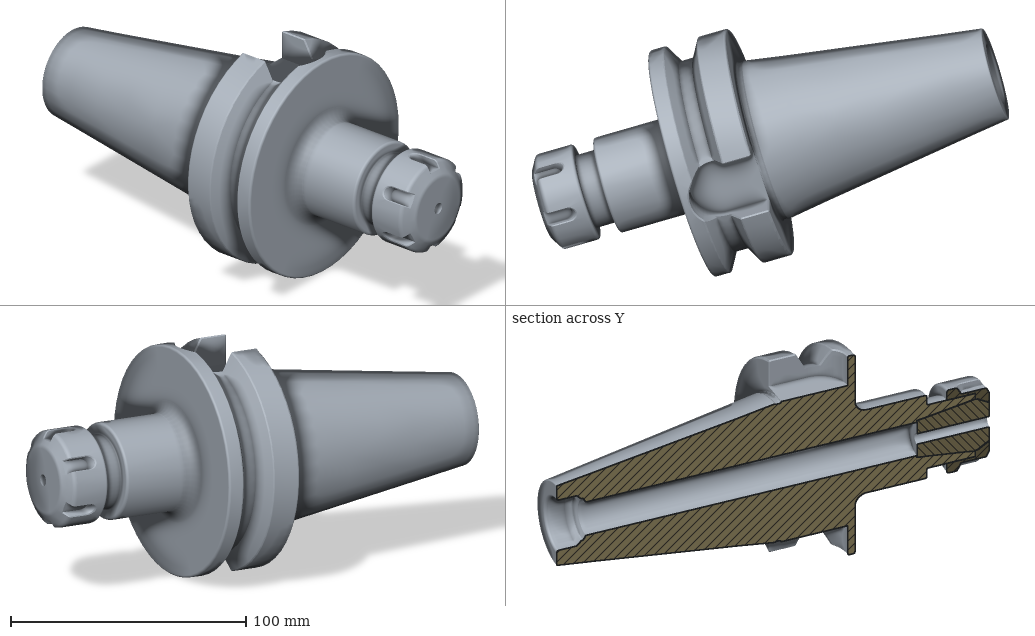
import cadquery as cq
import math

total_length = 201.8

cutter_overshoot = 2.0
selection_margin = 0.02

taper_length = 101.7
taper_large_diameter = 69.8
taper_large_radius = taper_large_diameter / 2
taper_slope = 7 / 24 / 2
taper_small_radius = taper_large_radius - taper_length * taper_slope
taper_end_round = 0.6
neck_radius = 34.6
neck_start = 102.3
neck_root_fillet = 0.8

flange_start = 104.7
flange_end = 139.2
flange_radius = 50.0
flange_edge = 1.0
groove_bottom_radius = 42.2
groove_bottom_start = 121.9
groove_bottom_end = 127.7
groove_side_angle = math.radians(60)
groove_side_width = (flange_radius - groove_bottom_radius) / math.tan(groove_side_angle)
groove_edge_round = 0.8

slot_width = 25.6
slot_floor_height = 35.3
slot_end_center = 122.9
slot_edge_chamfer = 0.6
drive_rim_min_height = 41.2

nose_radius = 21.0
nose_root_fillet = 5.2
nose_end = 172.7
nose_round = 1.2
thread_root_fillet = 0.6
thread_radius = 16.05

bore_mouth_round = 1.2
bore_radius = 12.5
bore_depth = 9.5
drawbar_thread_radius = 10.4
drawbar_thread_length = 0.8
through_radius = 8.3
bore_cone_angle = math.radians(45)
drill_cone_angle = math.radians(60)

collet_start = 167.9
collet_small_radius = 9.0
collet_large_radius = 13.0
collet_taper_angle = math.radians(8)
collet_front_angle = math.radians(30)
collet_taper_length = (collet_large_radius - collet_small_radius) / math.tan(collet_taper_angle)
collet_taper_end = collet_start + collet_taper_length
collet_front_start = 196.4
collet_front_radius = collet_large_radius - (total_length - collet_front_start) * math.tan(collet_front_angle)
collet_hole_radius = 2.52

nut_start = 181.8
nut_radius = 21.0
nut_back_round = 1.2
nut_nose_angle = math.radians(60)
nut_face_round = 3.0
nut_nose_start = 198.2
nut_face_radius = nut_radius - (total_length - nut_nose_start) * math.tan(nut_nose_angle)
nut_nose_round = 2.2
wrench_slot_count = 6
wrench_slot_width = 5.7
wrench_slot_start = 188.7
wrench_slot_floor = 17.4
wrench_slot_end_slope = math.radians(30)
wrench_slot_rim_chamfer = 0.5


def revolve_about_x(profile):
    return profile.close().revolve(360, (0, 0, 0), (1, 0, 0))


def holder_blank():
    left_corner = groove_bottom_start - groove_side_width
    right_corner = groove_bottom_end + groove_side_width
    tangent = groove_edge_round * math.tan(groove_side_angle / 2)
    side_run = tangent * math.cos(groove_side_angle)
    side_drop = tangent * math.sin(groove_side_angle)
    profile = (
        cq.Workplane("XY")
        .moveTo(0, 0)
        .lineTo(0, taper_small_radius - taper_end_round)
        .radiusArc((taper_end_round, taper_small_radius + taper_end_round * taper_slope), taper_end_round)
        .lineTo(taper_length, taper_large_radius)
        .lineTo(neck_start, neck_radius)
        .lineTo(flange_start - neck_root_fillet, neck_radius)
        .radiusArc((flange_start, neck_radius + neck_root_fillet), -neck_root_fillet)
        .lineTo(flange_start, flange_radius - flange_edge)
        .radiusArc((flange_start + flange_edge, flange_radius), flange_edge)
        .lineTo(left_corner - tangent, flange_radius)
        .radiusArc((left_corner + side_run, flange_radius - side_drop), groove_edge_round)
        .lineTo(groove_bottom_start, groove_bottom_radius)
        .lineTo(groove_bottom_end, groove_bottom_radius)
        .lineTo(right_corner - side_run, flange_radius - side_drop)
        .radiusArc((right_corner + tangent, flange_radius), groove_edge_round)
        .lineTo(flange_end - flange_edge, flange_radius)
        .radiusArc((flange_end, flange_radius - flange_edge), flange_edge)
        .lineTo(flange_end, nose_radius + nose_root_fillet)
        .radiusArc((flange_end + nose_root_fillet, nose_radius), -nose_root_fillet)
        .lineTo(nose_end - nose_round, nose_radius)
        .radiusArc((nose_end, nose_radius - nose_round), nose_round)
        .lineTo(nose_end, thread_radius + thread_root_fillet)
        .radiusArc((nose_end + thread_root_fillet, thread_radius), -thread_root_fillet)
        .lineTo(collet_taper_end, thread_radius)
        .lineTo(collet_taper_end, 0)
    )
    return revolve_about_x(profile)


def holder_bore():
    cone_end = bore_depth + (bore_radius - drawbar_thread_radius) / math.tan(bore_cone_angle)
    thread_end = cone_end + drawbar_thread_length
    drill_end = thread_end + (drawbar_thread_radius - through_radius) / math.tan(drill_cone_angle)
    profile = (
        cq.Workplane("XY")
        .moveTo(0, 0)
        .lineTo(0, bore_radius + bore_mouth_round)
        .radiusArc((bore_mouth_round, bore_radius), -bore_mouth_round)
        .lineTo(bore_depth, bore_radius)
        .lineTo(cone_end, drawbar_thread_radius)
        .lineTo(thread_end, drawbar_thread_radius)
        .lineTo(drill_end, through_radius)
        .lineTo(collet_start, through_radius)
        .lineTo(collet_start, 0)
    )
    return revolve_about_x(profile)


def drive_slot():
    length = slot_end_center - flange_start + slot_width
    height = flange_radius
    channel = (
        cq.Workplane("XY", origin=(slot_end_center - length / 2, 0, slot_floor_height))
        .box(length, slot_width, height, centered=(True, True, False))
    )
    rounded_end = (
        cq.Workplane("XY", origin=(slot_end_center, 0, slot_floor_height))
        .circle(slot_width / 2)
        .extrude(height)
    )
    return channel.union(rounded_end)


def collet_outline(hole_radius):
    profile = (
        cq.Workplane("XY")
        .moveTo(collet_start, hole_radius)
        .lineTo(collet_start, collet_small_radius)
        .lineTo(collet_taper_end, collet_large_radius)
        .lineTo(collet_front_start, collet_large_radius)
        .lineTo(total_length, collet_front_radius)
        .lineTo(total_length, hole_radius)
    )
    return revolve_about_x(profile)


def chamfer_drive_slot_rims(body):
    rim_edges = [
        edge
        for edge in body.edges().vals()
        if abs(edge.Center().y) <= slot_width / 2 + selection_margin
        and abs(edge.Center().z) > drive_rim_min_height
        and flange_start - selection_margin < edge.Center().x < flange_end - flange_edge
    ]
    return body.newObject(rim_edges).chamfer(slot_edge_chamfer)


def make_holder():
    body = holder_blank().cut(holder_bore()).cut(collet_outline(0))
    for angle in (0, 180):
        body = body.cut(drive_slot().rotate((0, 0, 0), (1, 0, 0), angle))
    return chamfer_drive_slot_rims(body)


def make_collet():
    return collet_outline(collet_hole_radius)


def wrench_slot():
    half_width = wrench_slot_width / 2
    height = nut_radius - wrench_slot_floor + cutter_overshoot
    mill_x = wrench_slot_start + half_width / math.cos(wrench_slot_end_slope)
    mill_top_x = mill_x - height * math.tan(wrench_slot_end_slope)
    channel = (
        cq.Workplane("XZ")
        .moveTo(mill_x, wrench_slot_floor)
        .lineTo(total_length, wrench_slot_floor)
        .lineTo(total_length, wrench_slot_floor + height)
        .lineTo(mill_top_x, wrench_slot_floor + height)
        .close()
        .extrude(half_width, both=True)
    )
    sloped_end = (
        cq.Workplane("XY")
        .circle(half_width)
        .extrude(2 * nut_radius, both=True)
        .rotate((0, 0, 0), (0, 1, 0), -math.degrees(wrench_slot_end_slope))
        .translate((mill_x, 0, wrench_slot_floor))
    )
    above_floor = (
        cq.Workplane("XY", origin=(mill_x, 0, wrench_slot_floor))
        .box(4 * nut_radius, wrench_slot_width, height, centered=(True, True, False))
    )
    return channel.union(sloped_end.intersect(above_floor))


def chamfer_wrench_slot_rims(body):
    rim_edges = [
        edge
        for edge in body.edges().vals()
        if wrench_slot_start - wrench_slot_width / 2 < edge.Center().x < nut_nose_start - nut_nose_round / 2
        and math.hypot(edge.Center().y, edge.Center().z) > nut_radius - wrench_slot_rim_chamfer
    ]
    return body.newObject(rim_edges).chamfer(wrench_slot_rim_chamfer)


def make_nut():
    tangent = nut_nose_round * math.tan(nut_nose_angle / 2)
    nose_run = tangent * math.cos(nut_nose_angle)
    nose_drop = tangent * math.sin(nut_nose_angle)
    face_tangent = nut_face_round * math.tan((math.pi / 2 - nut_nose_angle) / 2)
    face_run = face_tangent * math.cos(nut_nose_angle)
    face_rise = face_tangent * math.sin(nut_nose_angle)
    profile = (
        cq.Workplane("XY")
        .moveTo(nut_start, 0)
        .lineTo(nut_start, nut_radius - nut_back_round)
        .radiusArc((nut_start + nut_back_round, nut_radius), nut_back_round)
        .lineTo(nut_nose_start - tangent, nut_radius)
        .radiusArc((nut_nose_start + nose_run, nut_radius - nose_drop), nut_nose_round)
        .lineTo(total_length - face_run, nut_face_radius + face_rise)
        .radiusArc((total_length, nut_face_radius - face_tangent), nut_face_round)
        .lineTo(total_length, 0)
    )
    body = revolve_about_x(profile)
    thread = (
        cq.Workplane("YZ", origin=(nut_start, 0, 0))
        .circle(thread_radius)
        .extrude(collet_taper_end - nut_start)
    )
    body = body.cut(thread).cut(collet_outline(0))
    for index in range(wrench_slot_count):
        angle = index * 360 / wrench_slot_count
        body = body.cut(wrench_slot().rotate((0, 0, 0), (1, 0, 0), angle))
    return chamfer_wrench_slot_rims(body)


holder = make_holder()
collet = make_collet()
nut = make_nut()

result = cq.Compound.makeCompound([holder.val(), collet.val(), nut.val()])